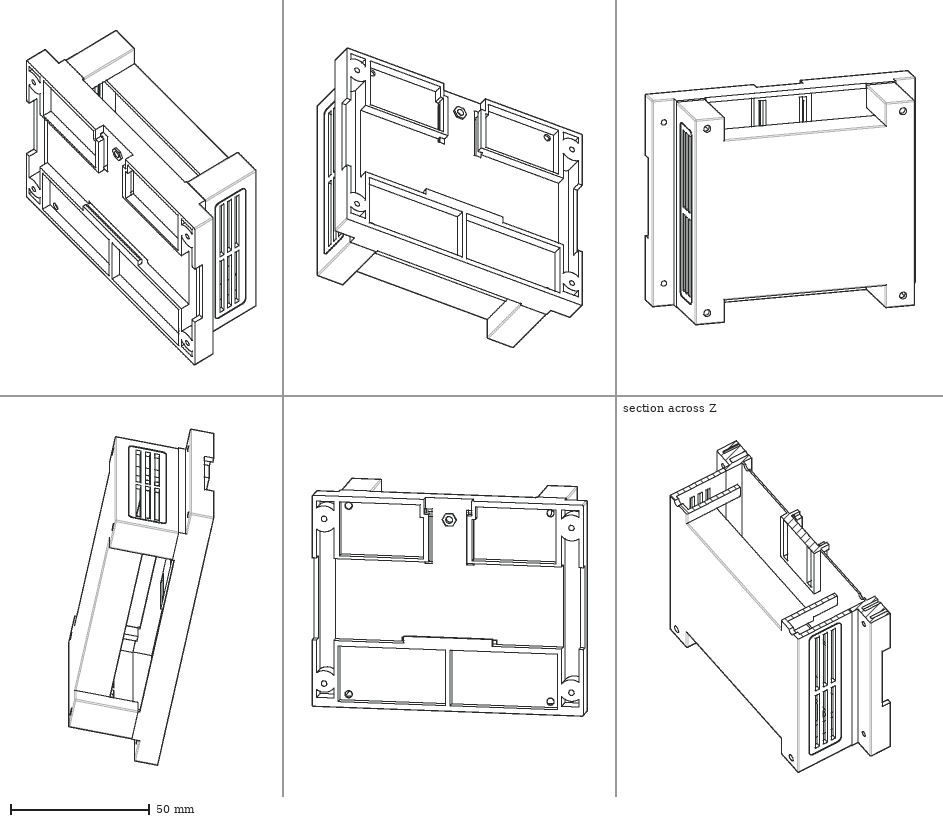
import cadquery as cq

WIDTH = 99.6
DEPTH = 34.6
HEIGHT = 78.0
CENTER_X = WIDTH / 2
CENTER_Z = HEIGHT / 2
EDGE_ROUND = 0.45
WALL = 1.9

FLANGE_DEPTH = 8.7
BLOCK_DEPTH = 10.6
SEAM_Y = 11.3
TOWER_INSET = 8.3
TOWER_WIDTH = 11.2
FLOOR = 0.8

SEAT_DEPTH = 3.5
RAIL_BOTTOM = 24.6
RAIL_TOP = 54.9
RIM = 2.1
LOWER_POCKET_INSET = 9.6
LOWER_POCKET_TOP = 22.6
MIDDLE_RIB = 1.8
UPPER_POCKET_INSET = 10.1
UPPER_POCKET_BOTTOM = 56.0
UPPER_POCKET_END = 40.8
UPPER_POCKET_NOTCH_END = 39.6
UPPER_POCKET_NOTCH_Z = 71.2
CHANNEL_INSET = 1.7
CHANNEL_WIDTH = 6.3
CHANNEL_DEPTH = 7.0
CHANNEL_BOTTOM = 3.4

BOSS_INSET_X = 4.4
BOSS_INSET_Z = 8.6
BOSS_RADIUS = 4.8
LOWER_BOSS_SHIFT = 1.6
MOUNT_HOLE = 2.0
SCREW_HOLE = 2.6
SCREW_INSET_X = 12.7
SCREW_INSET_Z = 4.2

TRACK_WIDTH = 17.5
LIP_GAP = 14.0
LIP_TOP = 72.5
LIP_DEPTH = 2.4
TONGUE_WIDTH = 12.6
GAP_BOTTOM = 53.6
GAP_TOP = 73.8
CLIP_BACKING = 3.5
NUT_ACROSS_FLATS = 4.5
NUT_HEIGHT = 0.7
NUT_Z = 70.1
NUT_HOLE = 2.5
NUT_HOLE_DEPTH = 2.0

HOOK_LENGTH = 32.5
HOOK_HEIGHT = 2.5
HOOK_DEPTH = 1.8
HOOK_BEVEL_Y = 0.7
HOOK_BEVEL_Z = 0.4
HOOK_SLOT_LENGTH = 34.6
HOOK_SLOT_HEIGHT = 1.5

COVER_HEIGHT = 77.5
COVER_CENTER_Z = COVER_HEIGHT / 2
BRIDGE_HEIGHT = 60.5
BRIDGE_FRONT = 21.6
PANEL_HEIGHT = 65.5
PANEL_FRONT = 15.8
PANEL_BACK = 29.7
PANEL_RADIUS = 1.8
PANEL_RECESS = 0.3
SLOT_WIDTH = 1.8
SLOT_PITCH = 3.43
SLOT_ROWS = 3
FIRST_SLOT_Y = 18.2
SLOT_DIVIDER = 2.7


def box(x0, x1, y0, y1, z0, z1):
    """Axis-aligned block between the given limits."""
    return cq.Workplane("XY").box(x1 - x0, y1 - y0, z1 - z0, centered=False).translate((x0, y0, z0))


def y_prism(outline, y0, y1):
    """Extrude a Workplane outline, drawn in X and Z, from y0 to y1."""
    return outline.extrude(y0 - y1).translate((0, y0, 0))


def y_cylinder(x, z, diameter, y0, y1):
    """Round bar along Y."""
    return y_prism(cq.Workplane("XZ").center(x, z).circle(diameter / 2), y0, y1)


def mirrored(shape):
    """The shape together with its left-right mirror image."""
    return shape.union(shape.mirror("YZ", (CENTER_X, 0, 0)))


def at_four_corners(inset_x, inset_z, diameter):
    """Four round bars along Y through the full depth, at equal insets from the outline."""
    bars = cq.Workplane("XZ").center(CENTER_X, CENTER_Z)
    bars = bars.rect(WIDTH - 2 * inset_x, HEIGHT - 2 * inset_z, forConstruction=True)
    return y_prism(bars.vertices().circle(diameter / 2), 0, DEPTH)


def base_blank():
    """Flanged plate, raised block and the two pads that carry the cover towers."""
    plate = box(0, WIDTH, 0, FLANGE_DEPTH, 0, HEIGHT)
    plate = plate.edges("|Y or >Y").fillet(EDGE_ROUND)
    block = box(TOWER_INSET, WIDTH - TOWER_INSET, SEAT_DEPTH, BLOCK_DEPTH, 0, HEIGHT)
    pad = box(TOWER_INSET, TOWER_INSET + TOWER_WIDTH, SEAT_DEPTH, SEAM_Y, 0, HEIGHT)
    return plate.union(block).union(mirrored(pad))


def base_cavity():
    """Inside of the base, open to the back, with a thicker block left behind the clip."""
    left = TOWER_INSET + WALL
    floor_back = SEAT_DEPTH + FLOOR
    cavity = box(left, WIDTH - left, floor_back, SEAM_Y, WALL, HEIGHT - WALL)
    backing_left = UPPER_POCKET_END - WALL
    backing_back = SEAT_DEPTH + CLIP_BACKING
    backing = box(backing_left, WIDTH - backing_left, floor_back, backing_back, GAP_BOTTOM - WALL, HEIGHT)
    return cavity.cut(backing)


def front_recesses():
    """Rail seat, clip track and pockets, all cut down to the seat plane."""
    rail = box(0, WIDTH, 0, SEAT_DEPTH, RAIL_BOTTOM, RAIL_TOP)
    track = box(CENTER_X - TRACK_WIDTH / 2, CENTER_X, 0, SEAT_DEPTH, LIP_TOP, HEIGHT)
    lip_passage = box(CENTER_X - LIP_GAP / 2, CENTER_X, 0, SEAT_DEPTH, RAIL_TOP, LIP_TOP)
    lower_pocket = box(LOWER_POCKET_INSET, CENTER_X - MIDDLE_RIB / 2, 0, SEAT_DEPTH, RIM, LOWER_POCKET_TOP)
    pocket_outline = (
        cq.Workplane("XZ")
        .moveTo(UPPER_POCKET_INSET, UPPER_POCKET_BOTTOM)
        .lineTo(UPPER_POCKET_END, UPPER_POCKET_BOTTOM)
        .lineTo(UPPER_POCKET_END, UPPER_POCKET_NOTCH_Z)
        .lineTo(UPPER_POCKET_NOTCH_END, UPPER_POCKET_NOTCH_Z)
        .lineTo(UPPER_POCKET_NOTCH_END, HEIGHT - RIM)
        .lineTo(UPPER_POCKET_INSET, HEIGHT - RIM)
        .close()
    )
    upper_pocket = y_prism(pocket_outline, 0, SEAT_DEPTH)
    left_half = track.union(lip_passage).union(lower_pocket).union(upper_pocket)
    return rail.union(mirrored(left_half))


def tongue_gap():
    """Slot right through the base beside the clip tongue; the lip in front of it stays."""
    right = CENTER_X - TONGUE_WIDTH / 2
    return box(UPPER_POCKET_END, right, LIP_DEPTH, SEAM_Y, GAP_BOTTOM, GAP_TOP)


def side_channel():
    """Deep channel along the left flange, interrupted by two mounting bosses."""
    channel = box(CHANNEL_INSET, CHANNEL_INSET + CHANNEL_WIDTH, 0, CHANNEL_DEPTH, CHANNEL_BOTTOM, HEIGHT - RIM)
    upper_z = HEIGHT - BOSS_INSET_Z
    upper_boss = y_cylinder(BOSS_INSET_X, upper_z, 2 * BOSS_RADIUS, 0, CHANNEL_DEPTH)
    lower_boss = y_cylinder(BOSS_INSET_X, BOSS_INSET_Z, 2 * BOSS_RADIUS, 0, CHANNEL_DEPTH)
    shortening = lower_boss.translate((0, 0, LOWER_BOSS_SHIFT))
    return channel.cut(upper_boss).cut(lower_boss.intersect(shortening))


def clip_nut():
    """Low hexagonal boss on the clip tongue."""
    corner_diameter = NUT_ACROSS_FLATS * 2 / 3**0.5
    outline = cq.Workplane("XZ").center(CENTER_X, NUT_Z).polygon(6, corner_diameter)
    return y_prism(outline, SEAT_DEPTH - NUT_HEIGHT, SEAT_DEPTH)


def rail_hook():
    """Bar standing up behind the front face over the lower edge of the rail seat."""
    top = RAIL_BOTTOM + HOOK_HEIGHT
    section = [
        (0, RAIL_BOTTOM),
        (HOOK_DEPTH, RAIL_BOTTOM),
        (HOOK_DEPTH, top - HOOK_BEVEL_Z),
        (HOOK_DEPTH - HOOK_BEVEL_Y, top),
        (0, top),
    ]
    bar = cq.Workplane("YZ").polyline(section).close().extrude(HOOK_LENGTH)
    return bar.translate((CENTER_X - HOOK_LENGTH / 2, 0, 0))


def hook_slot():
    """Opening through the base behind the rail hook."""
    half = HOOK_SLOT_LENGTH / 2
    return box(CENTER_X - half, CENTER_X + half, SEAT_DEPTH, SEAM_Y, RAIL_BOTTOM, RAIL_BOTTOM + HOOK_SLOT_HEIGHT)


def make_base():
    body = base_blank().cut(base_cavity()).cut(front_recesses())
    body = body.cut(mirrored(side_channel()))
    body = body.cut(mirrored(tongue_gap())).cut(hook_slot())
    body = body.union(rail_hook()).union(clip_nut())
    nut_front = SEAT_DEPTH - NUT_HEIGHT
    body = body.cut(y_cylinder(CENTER_X, NUT_Z, NUT_HOLE, nut_front, nut_front + NUT_HOLE_DEPTH))
    body = body.cut(at_four_corners(BOSS_INSET_X, BOSS_INSET_Z, MOUNT_HOLE))
    return body.cut(at_four_corners(SCREW_INSET_X, SCREW_INSET_Z, SCREW_HOLE))


def z_centered_box(x0, x1, y0, y1, height):
    """Block centred on the cover's mid-height."""
    return box(x0, x1, y0, y1, COVER_CENTER_Z - height / 2, COVER_CENTER_Z + height / 2)


def cover_blank():
    """Two side towers joined by a shorter bridge along the back."""
    tower = z_centered_box(TOWER_INSET, TOWER_INSET + TOWER_WIDTH, SEAM_Y, DEPTH, COVER_HEIGHT)
    tower = tower.edges("|Y or >Y").fillet(EDGE_ROUND)
    bridge_end = TOWER_INSET + TOWER_WIDTH / 2
    bridge = z_centered_box(bridge_end, WIDTH - bridge_end, BRIDGE_FRONT, DEPTH, BRIDGE_HEIGHT)
    bridge = bridge.edges(">Y and |X").fillet(EDGE_ROUND)
    return mirrored(tower).union(bridge)


def cover_cavity():
    """Inside of the cover, open to the front and leaving walls of even thickness."""
    left = TOWER_INSET + WALL
    back = DEPTH - WALL
    tower = z_centered_box(left, TOWER_INSET + TOWER_WIDTH - WALL, SEAM_Y, back, COVER_HEIGHT - 2 * WALL)
    bridge = z_centered_box(left, WIDTH - left, SEAM_Y, back, BRIDGE_HEIGHT - 2 * WALL)
    passage = z_centered_box(left, WIDTH - left, SEAM_Y, BRIDGE_FRONT, BRIDGE_HEIGHT)
    return mirrored(tower).union(bridge).union(passage)


def vent_panel():
    """Shallow rounded recess around the vent slots on the left side."""
    panel = z_centered_box(TOWER_INSET, TOWER_INSET + PANEL_RECESS, PANEL_FRONT, PANEL_BACK, PANEL_HEIGHT)
    return panel.edges("|X").fillet(PANEL_RADIUS)


def vent_slots():
    """Rows of slots through the left wall, in an upper and a lower group."""
    row = z_centered_box(
        TOWER_INSET, TOWER_INSET + WALL, FIRST_SLOT_Y, FIRST_SLOT_Y + SLOT_WIDTH, BRIDGE_HEIGHT
    )
    row = row.cut(z_centered_box(0, CENTER_X, 0, DEPTH, SLOT_DIVIDER))
    slots = row
    for index in range(1, SLOT_ROWS):
        slots = slots.union(row.translate((0, index * SLOT_PITCH, 0)))
    return slots


def make_cover():
    body = cover_blank().cut(cover_cavity())
    body = body.cut(mirrored(vent_panel())).cut(mirrored(vent_slots()))
    return body.cut(at_four_corners(SCREW_INSET_X, SCREW_INSET_Z, SCREW_HOLE))


base = make_base()
cover = make_cover()
result = cq.Compound.makeCompound([base.val(), cover.val()])